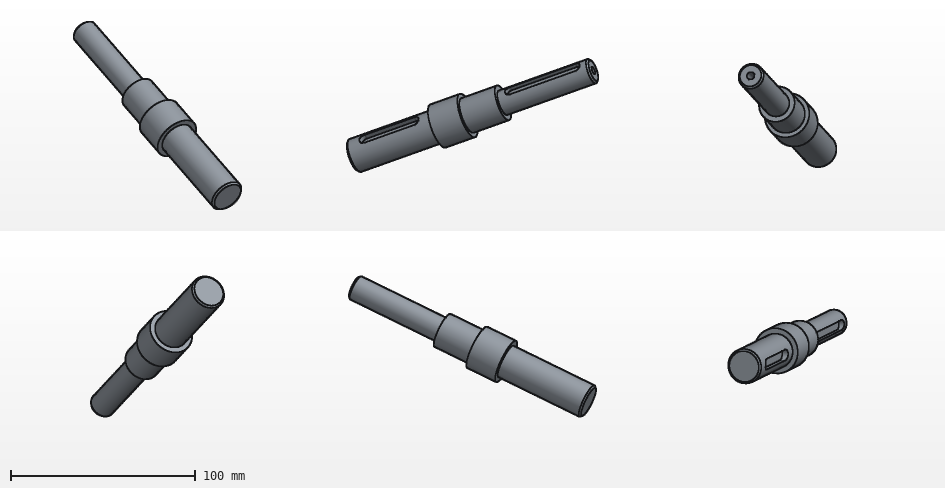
import cadquery as cq
import math

total_length = 145.0
shoulder_x = 54.7
collar_start_x = 76.1
collar_end_x = 94.0
front_diameter = 14.0
shoulder_diameter = 20.0
collar_diameter = 25.0
rear_diameter = 19.0
end_chamfer = 1.0

front_key_start = 5.0
front_key_end = 50.0
front_key_width = 5.5
front_key_depth = 3.0
rear_key_start = 101.0
rear_key_end = 136.9
rear_key_width = 6.0
rear_key_depth = 3.5

hole_diameter = 4.2
hole_depth = 12.5
drill_tip_angle = 118.0


def cylinder(start_x, end_x, diameter):
    return cq.Workplane("YZ", origin=(start_x, 0, 0)).circle(diameter / 2).extrude(end_x - start_x)


def keyway(start_x, end_x, width, depth, shaft_diameter):
    """Round-ended cutter whose floor lies the given depth below the shaft surface."""
    floor_y = shaft_diameter / 2 - depth
    centre_x = (start_x + end_x) / 2
    return (
        cq.Workplane("XZ", origin=(centre_x, floor_y, 0))
        .slot2D(end_x - start_x, width)
        .extrude(-2 * depth)
    )


def centre_hole():
    radius = hole_diameter / 2
    tip_length = radius / math.tan(math.radians(drill_tip_angle / 2))
    return (
        cq.Workplane("XY")
        .polyline([(0, 0), (0, radius), (hole_depth, radius), (hole_depth + tip_length, 0)])
        .close()
        .revolve(360, (0, 0, 0), (1, 0, 0))
    )


front_journal = cylinder(0, shoulder_x, front_diameter).faces("<X").chamfer(end_chamfer)
shoulder = cylinder(shoulder_x, collar_start_x, shoulder_diameter)
collar = cylinder(collar_start_x, collar_end_x, collar_diameter)
rear_journal = cylinder(collar_end_x, total_length, rear_diameter).faces(">X").chamfer(end_chamfer)

front_keyway = keyway(front_key_start, front_key_end, front_key_width, front_key_depth, front_diameter)
rear_keyway = keyway(rear_key_start, rear_key_end, rear_key_width, rear_key_depth, rear_diameter)

shaft = front_journal.union(shoulder).union(collar).union(rear_journal)
result = shaft.cut(front_keyway).cut(rear_keyway).cut(centre_hole())